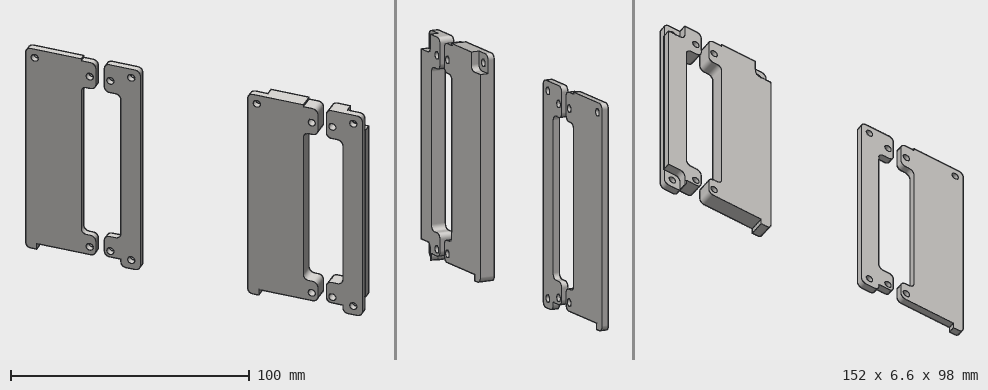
import cadquery as cq

TOTAL_LENGTH = 152.0
PLATE_HEIGHT = 98.0
FRONT_THICKNESS = 3.0
BACK_THICKNESS = 3.6
FULL_THICKNESS = FRONT_THICKNESS + BACK_THICKNESS
BACK_MIDDLE_Y = FRONT_THICKNESS + BACK_THICKNESS / 2
SET_PITCH = 100.0

CORNER_RADIUS = 2.5
HOLE_DIAMETER = 3.2
HOLE_INSET_X = 4.1
HOLE_INSET_Z = 4.3
EAR_HOLE_INSET = 2.7
UPPER_EAR_HOLE_Z = PLATE_HEIGHT - 7.9
LOWER_EAR_HOLE_Z = 6.5

UPPER_EAR_BOTTOM = PLATE_HEIGHT - 13.7

WIDE_WIDTH = 31.6
WIDE_WINDOW_X = 25.0
WIDE_STEP_DROP = 0.9
WIDE_LOWER_EAR_TOP = 12.3
WIDE_BOTTOM = 2.7
FOOT_WIDTH = 5.0

RAIL_LEFT = 35.4
RAIL_RIGHT = 51.7
RAIL_WINDOW_X = 42.8
RAIL_LOWER_EAR_TOP = 13.7
RAIL_BOTTOM = 3.6
FLANGE_RIGHT = TOTAL_LENGTH - SET_PITCH

RECESS_REACH = 3.8
RECESS_DEPTH_Z = HOLE_INSET_Z + RECESS_REACH

WIDE_HOLES = [
    (HOLE_INSET_X, PLATE_HEIGHT - HOLE_INSET_Z),
    (WIDE_WIDTH - EAR_HOLE_INSET, UPPER_EAR_HOLE_Z),
    (WIDE_WIDTH - EAR_HOLE_INSET, LOWER_EAR_HOLE_Z),
]
RAIL_HOLE_X = RAIL_RIGHT - HOLE_INSET_X
RAIL_HOLES = [
    (RAIL_HOLE_X, PLATE_HEIGHT - HOLE_INSET_Z),
    (RAIL_HOLE_X, HOLE_INSET_Z),
    (RAIL_LEFT + EAR_HOLE_INSET, UPPER_EAR_HOLE_Z),
    (RAIL_LEFT + EAR_HOLE_INSET, LOWER_EAR_HOLE_Z),
]


def block(x_start, x_end, z_start, z_end, y_start, y_end):
    """Axis-aligned box between two limits on each axis."""
    size = (x_end - x_start, y_end - y_start, z_end - z_start)
    return cq.Workplane("XY").box(*size, centered=False).translate((x_start, y_start, z_start))


def round_edges(body, points):
    """Round the edges along Y nearest to the given (x, y, z) points."""
    for point in points:
        body = body.edges("|Y").edges(cq.NearestToPointSelector(point)).fillet(CORNER_RADIUS)
    return body


def plate(outline, thickness):
    """Plate from (x, z, is_rounded) corners, with its front face at Y = 0."""
    corners = [(x, z) for x, z, is_rounded in outline]
    body = cq.Workplane("XZ").polyline(corners).close().extrude(-thickness)
    return round_edges(body, [(x, thickness / 2, z) for x, z, is_rounded in outline if is_rounded])


def drill(body, centres, thickness):
    """Cut the through holes along Y."""
    return body.cut(cq.Workplane("XZ").pushPoints(centres).circle(HOLE_DIAMETER / 2).extrude(-thickness))


def wide_plate(thickness):
    """Wide plate with two ears on its right side and a foot at the bottom left."""
    top_right = PLATE_HEIGHT - WIDE_STEP_DROP
    outline = [
        (0, 0, True),
        (FOOT_WIDTH, 0, False),
        (FOOT_WIDTH, WIDE_BOTTOM, False),
        (WIDE_WIDTH, WIDE_BOTTOM, True),
        (WIDE_WIDTH, WIDE_LOWER_EAR_TOP, True),
        (WIDE_WINDOW_X, WIDE_LOWER_EAR_TOP, True),
        (WIDE_WINDOW_X, UPPER_EAR_BOTTOM, True),
        (WIDE_WIDTH, UPPER_EAR_BOTTOM, True),
        (WIDE_WIDTH, top_right, True),
        (WIDE_WINDOW_X, top_right, False),
        (WIDE_WINDOW_X, PLATE_HEIGHT, False),
        (0, PLATE_HEIGHT, True),
    ]
    return drill(plate(outline, thickness), WIDE_HOLES, thickness)


def rail(thickness):
    """Narrow rail with two ears on its left side and a lobe at the bottom right."""
    outline = [
        (RAIL_LEFT, RAIL_BOTTOM, True),
        (RAIL_WINDOW_X, RAIL_BOTTOM, False),
        (RAIL_WINDOW_X, 0, True),
        (RAIL_RIGHT, 0, True),
        (RAIL_RIGHT, PLATE_HEIGHT, True),
        (RAIL_LEFT, PLATE_HEIGHT, True),
        (RAIL_LEFT, UPPER_EAR_BOTTOM, True),
        (RAIL_WINDOW_X, UPPER_EAR_BOTTOM, True),
        (RAIL_WINDOW_X, RAIL_LOWER_EAR_TOP, True),
        (RAIL_LEFT, RAIL_LOWER_EAR_TOP, True),
    ]
    return drill(plate(outline, thickness), RAIL_HOLES, thickness)


def thick_wide_plate():
    """Two-layer wide plate whose back layer is cut away around the top left hole."""
    wall_x = HOLE_INSET_X + RECESS_REACH
    floor_z = PLATE_HEIGHT - RECESS_DEPTH_Z
    recess = block(0, wall_x, floor_z, PLATE_HEIGHT, FRONT_THICKNESS, FULL_THICKNESS)
    recess = round_edges(recess, [(wall_x, BACK_MIDDLE_Y, floor_z)])
    return wide_plate(FULL_THICKNESS).cut(recess)


def thick_rail():
    """Two-layer rail with a back flange past its right edge, between two corner recesses."""
    wall_x = RAIL_HOLE_X - RECESS_REACH
    upper_floor = PLATE_HEIGHT - RECESS_DEPTH_Z
    lower_floor = RECESS_DEPTH_Z
    upper = block(wall_x, RAIL_RIGHT, upper_floor, PLATE_HEIGHT, FRONT_THICKNESS, FULL_THICKNESS)
    upper = round_edges(upper, [(wall_x, BACK_MIDDLE_Y, upper_floor)])
    lower = block(wall_x, RAIL_RIGHT, 0, lower_floor, FRONT_THICKNESS, FULL_THICKNESS)
    lower = round_edges(lower, [(wall_x, BACK_MIDDLE_Y, lower_floor)])
    flange = block(RAIL_RIGHT, FLANGE_RIGHT, lower_floor, upper_floor, FRONT_THICKNESS, FULL_THICKNESS)
    return rail(FULL_THICKNESS).cut(upper).cut(lower).union(flange)


thin_wide = wide_plate(FRONT_THICKNESS)
thin_rail = rail(FRONT_THICKNESS)
thick_wide = thick_wide_plate().translate((SET_PITCH, 0, 0))
thick_flanged_rail = thick_rail().translate((SET_PITCH, 0, 0))

result = cq.Compound.makeCompound([
    thin_wide.val(),
    thin_rail.val(),
    thick_wide.val(),
    thick_flanged_rail.val(),
])